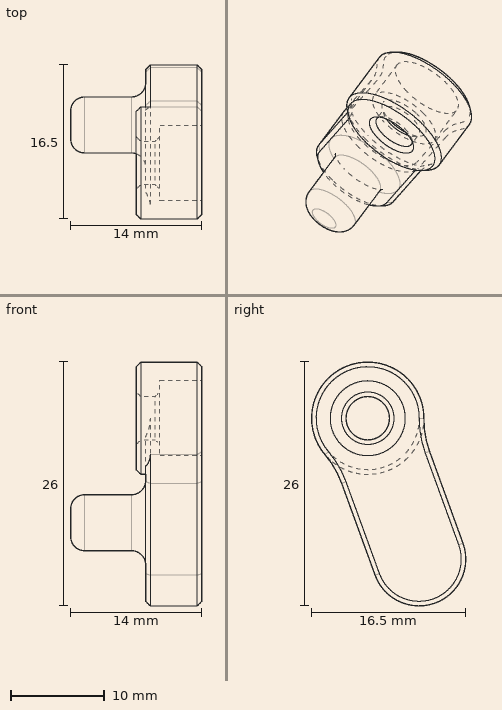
import cadquery as cq
import math


boss_radius = 12.0 / 2
boss_height = 7.0

arm_angle = 20.0
arm_length = 16.0
arm_end_radius = 5.0
arm_thickness = 6.0
neck_radius = 10.0
edge_chamfer = 0.5

pin_distance = 11.865
pin_radius = 6.0 / 2
pin_length = 8.0
pin_tip_round = 1.5
pin_root_fillet = 1.5

hole_radius = 4.6 / 2
hole_chamfer = 0.5
counterbore_radius = 8.0 / 2
counterbore_depth = 4.5

neck_centre_y = arm_end_radius + neck_radius
neck_centre_z = -math.sqrt((boss_radius + neck_radius) ** 2 - neck_centre_y ** 2)
centre_line_ratio = boss_radius / (boss_radius + neck_radius)
boss_touch_y = neck_centre_y * centre_line_ratio
boss_touch_z = neck_centre_z * centre_line_ratio


def arm_sides():
    """Open outline of the arm from the +Y side of the boss, round the end, to the -Y side."""
    return (
        cq.Workplane("YZ")
        .moveTo(boss_touch_y, boss_touch_z)
        .radiusArc((arm_end_radius, neck_centre_z), -neck_radius)
        .lineTo(arm_end_radius, -arm_length)
        .threePointArc((0, -arm_length - arm_end_radius), (-arm_end_radius, -arm_length))
        .lineTo(-arm_end_radius, neck_centre_z)
        .radiusArc((-boss_touch_y, boss_touch_z), -neck_radius)
    )


def arm_front_bevel():
    """Sliver to remove along the front edge of the arm, stopping at the boss wall."""
    square_arm = arm_sides().close().extrude(-arm_thickness)
    bevelled_arm = square_arm.faces("<X").edges("not |Y").chamfer(edge_chamfer)
    boss_cylinder = cq.Workplane("YZ").circle(boss_radius).extrude(-boss_height)
    boss_cylinder = boss_cylinder.rotate((0, 0, 0), (1, 0, 0), 180)
    return square_arm.cut(bevelled_arm).cut(boss_cylinder)


def boss_and_arm():
    """Plate with the whole outline, the boss raised from it, and all outer edges chamfered."""
    plate = (
        arm_sides()
        .threePointArc((0, boss_radius), (boss_touch_y, boss_touch_z))
        .close()
        .extrude(-arm_thickness)
        .faces(">X")
        .chamfer(edge_chamfer)
    )
    raised = (
        plate.faces("<X")
        .workplane(origin=(0, 0, 0))
        .circle(boss_radius)
        .extrude(boss_height - arm_thickness)
    )
    return raised.cut(arm_front_bevel()).faces("<X").chamfer(edge_chamfer)


def pin():
    """Pin with a rounded tip and a flared root, revolved about its own axis."""
    face_x = -arm_thickness
    embedded_x = face_x / 2
    root_x = face_x - pin_root_fillet
    root_radius = pin_radius + pin_root_fillet
    tip_x = face_x - pin_length
    return (
        cq.Workplane("XY")
        .moveTo(embedded_x, 0)
        .lineTo(embedded_x, pin_radius)
        .lineTo(face_x, pin_radius)
        .lineTo(face_x, root_radius)
        .radiusArc((root_x, pin_radius), pin_root_fillet)
        .lineTo(tip_x, pin_radius)
        .lineTo(tip_x, 0)
        .close()
        .revolve(360, (0, 0, 0), (1, 0, 0))
        .faces("<X")
        .fillet(pin_tip_round)
        .translate((0, 0, -pin_distance))
    )


def stepped_hole():
    """Through hole counterbored from the back, with both ends of its narrow bore chamfered."""
    mouth_radius = hole_radius + hole_chamfer
    return (
        cq.Workplane("XY")
        .lineTo(0, counterbore_radius)
        .lineTo(-counterbore_depth, counterbore_radius)
        .lineTo(-counterbore_depth, mouth_radius)
        .lineTo(-counterbore_depth - hole_chamfer, hole_radius)
        .lineTo(-boss_height + hole_chamfer, hole_radius)
        .lineTo(-boss_height, mouth_radius)
        .lineTo(-boss_height, 0)
        .close()
        .revolve(360, (0, 0, 0), (1, 0, 0))
    )


lever = boss_and_arm().union(pin()).cut(stepped_hole())
result = lever.rotate((0, 0, 0), (1, 0, 0), arm_angle)